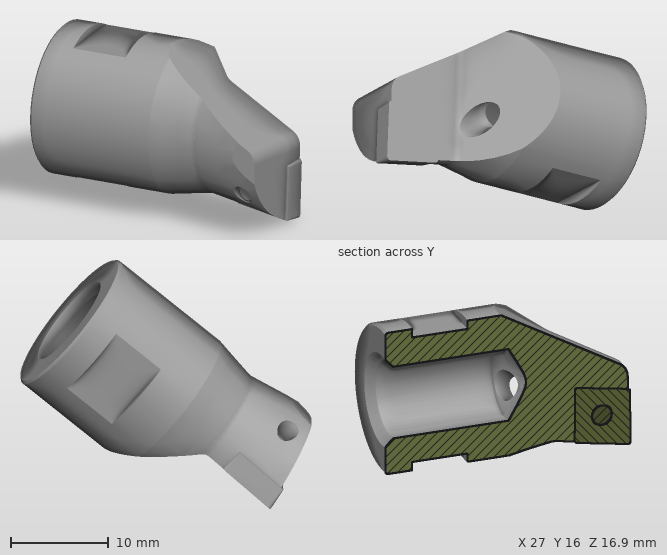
import cadquery as cq
import math

shank_radius = 8.0
shank_end_chamfer = 0.25
shank_length = 13.6

flat_start = 3.0
flat_length = 6.0
flat_height = 7.0

bore_radius = 4.1
bore_depth = 13.5
bore_tip_angle = 118.0
bore_chamfer = 0.9

taper_angle = 10.0
neck_x = 18.4
neck_blend_radius = 1.1

slope_start_x = 12.6
slope_angle = 30.0
nose_corner_radius = 1.8
side_flat_y = -8.0
insert_overhang = 0.3

clip_size = 40.0

rake_tilt = 3.5
relief_wall_angle = 45.0
relief_corner_radius = 1.2

tip_x = 27.0
tip_z = -8.88
insert_inscribed_circle = 6.35
insert_thickness = 2.38
insert_corner_angle = 80.0
insert_clearance = 7.0
insert_corner_radius = 0.4

screw_radius = 1.05
screw_length = 5.8
screw_offset = 0.15
screw_tip_chamfer = 0.2

coolant_radius = 1.5
coolant_start = (12.0, 2.0, -0.2)
coolant_direction = (2.0, 0.0, -1.1)
coolant_length = 9.0

corner_tilt = math.radians(90 - insert_corner_angle)
insert_side = insert_inscribed_circle / math.sin(math.radians(insert_corner_angle))
insert_run = insert_side * math.cos(corner_tilt)
insert_rise = insert_side * math.sin(corner_tilt)
corner_y = insert_corner_radius * (1 - 1 / math.cos(corner_tilt) - math.tan(corner_tilt))

rake_origin = (0, 0, tip_z)
tilt_sin = math.sin(math.radians(rake_tilt))
tilt_cos = math.cos(math.radians(rake_tilt))
rake_face = cq.Plane(origin=rake_origin, xDir=(1, 0, 0), normal=(0, -tilt_cos, tilt_sin))
rake_section = cq.Plane(origin=rake_origin, xDir=(1, 0, 0), normal=(0, tilt_sin, tilt_cos))


def make_blank():
    """Turned blank: chamfered shank, narrowing neck and flared nose."""
    taper = math.radians(taper_angle)
    neck_radius = shank_radius - (neck_x - shank_length) * math.tan(taper)
    flare_end_radius = neck_radius + (tip_x - neck_x) * math.tan(taper)
    blend_reach = neck_blend_radius * math.sin(taper)
    blend_edge_radius = neck_radius + blend_reach * math.tan(taper)
    blend_floor_radius = blend_edge_radius - neck_blend_radius * (1 - math.cos(taper))
    profile = (
        cq.Workplane("XY")
        .moveTo(0, 0)
        .lineTo(0, shank_radius - shank_end_chamfer)
        .lineTo(shank_end_chamfer, shank_radius)
        .lineTo(shank_length, shank_radius)
        .lineTo(neck_x - blend_reach, blend_edge_radius)
        .threePointArc((neck_x, blend_floor_radius), (neck_x + blend_reach, blend_edge_radius))
        .lineTo(tip_x, flare_end_radius)
        .lineTo(tip_x, 0)
        .close()
    )
    return profile.revolve(360, (0, 0, 0), (1, 0, 0))


def make_bore():
    """Chamfered blind bore with a drilled conical end."""
    cone_depth = bore_radius / math.tan(math.radians(bore_tip_angle / 2))
    return (
        cq.Workplane("XY")
        .moveTo(0, 0)
        .lineTo(0, bore_radius + bore_chamfer)
        .lineTo(bore_chamfer, bore_radius)
        .lineTo(bore_depth, bore_radius)
        .lineTo(bore_depth + cone_depth, 0)
        .close()
        .revolve(360, (0, 0, 0), (1, 0, 0))
    )


def make_wrench_slots():
    """Blocks that cut the two opposite wrench flats."""
    slots = cq.Workplane("XY")
    for side in (1, -1):
        slots = slots.union(
            cq.Workplane("XY")
            .box(flat_length, 2 * shank_radius, shank_radius)
            .translate((flat_start + flat_length / 2, 0, side * (flat_height + shank_radius / 2)))
        )
    return slots


def make_envelope():
    """Space left by the sloping top, the leaning end face and the flat on the -Y side."""
    end_x = tip_x - insert_overhang
    lean = math.tan(math.radians(insert_clearance))
    slope = math.tan(math.radians(slope_angle))
    side_outline = (
        cq.Workplane("XZ", origin=(0, clip_size, 0))
        .moveTo(0, -clip_size)
        .lineTo(0, shank_radius + slope_start_x * slope)
        .lineTo(clip_size, shank_radius - (clip_size - slope_start_x) * slope)
        .lineTo(clip_size, -clip_size)
        .close()
        .extrude(2 * clip_size)
    )
    plan_outline = (
        cq.Workplane("XY", origin=(0, 0, -clip_size))
        .moveTo(0, side_flat_y)
        .lineTo(end_x + side_flat_y * lean, side_flat_y)
        .lineTo(end_x + shank_radius * lean, shank_radius)
        .lineTo(0, shank_radius)
        .close()
        .extrude(2 * clip_size)
    )
    corner = (end_x, 0, shank_radius - (end_x - slope_start_x) * slope)
    return (
        side_outline.intersect(plan_outline)
        .edges(cq.selectors.NearestToPointSelector(corner))
        .fillet(nose_corner_radius)
    )


def make_relief():
    """Space above the rake face, bounded by the oblique wall behind it."""
    wall_run = clip_size / math.tan(math.radians(relief_wall_angle))
    return (
        cq.Workplane(rake_section)
        .workplane(offset=-clip_size)
        .moveTo(neck_x, 0)
        .lineTo(neck_x - wall_run, clip_size)
        .lineTo(clip_size, clip_size)
        .lineTo(clip_size, 0)
        .close()
        .extrude(2 * clip_size)
        .edges(cq.selectors.NearestToPointSelector((neck_x, 0, tip_z)))
        .fillet(relief_corner_radius)
    )


def make_insert():
    """Rhombic insert with rounded corners, narrowing away from its rake face."""
    outline = (
        cq.Sketch()
        .polygon([
            (tip_x, corner_y),
            (tip_x, corner_y + insert_side),
            (tip_x - insert_run, corner_y + insert_side + insert_rise),
            (tip_x - insert_run, corner_y + insert_rise),
            (tip_x, corner_y),
        ])
        .vertices()
        .fillet(insert_corner_radius)
    )
    return (
        cq.Workplane(rake_face)
        .placeSketch(outline)
        .extrude(insert_thickness, taper=insert_clearance)
    )


def make_rod(length):
    """Rod of the screw's size from the rake face, set off the insert's middle away from the tip."""
    half_corner = math.radians(insert_corner_angle / 2)
    reach = insert_side * math.cos(half_corner) + screw_offset
    return (
        cq.Workplane(rake_face)
        .center(tip_x - reach * math.sin(half_corner), corner_y + reach * math.cos(half_corner))
        .circle(screw_radius)
        .extrude(length)
    )


def make_screw():
    """Clamping screw with a chamfered far end."""
    return make_rod(screw_length).faces("<Y").chamfer(screw_tip_chamfer)


def make_coolant_hole():
    """Oblique hole from the conical end of the bore to the wall behind the rake face."""
    return cq.Workplane(
        cq.Solid.makeCylinder(
            coolant_radius,
            coolant_length,
            cq.Vector(*coolant_start),
            cq.Vector(*coolant_direction),
        )
    )


screw = make_screw()
full_insert = make_insert()
insert = full_insert.cut(screw)
head = (
    make_blank()
    .cut(make_wrench_slots())
    .cut(make_bore())
    .intersect(make_envelope())
    .cut(make_relief())
    .cut(make_coolant_hole())
    .cut(full_insert)
    .cut(make_rod(clip_size))
)

result = cq.Compound.makeCompound([head.val(), insert.val(), screw.val()])